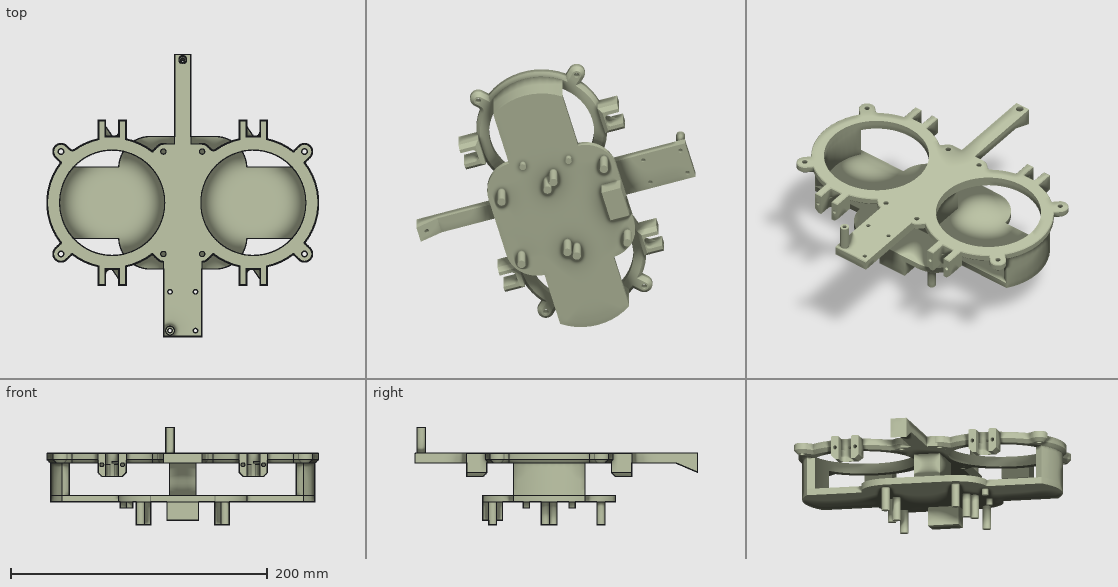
import cadquery as cq
import math


FRAME_THICKNESS = 8.0
LEG_HEIGHT = 25.1
BASE_THICKNESS = 5.0
POST_HEIGHT = 19.8
LEG_TOP_Z = -FRAME_THICKNESS
BASE_TOP_Z = LEG_TOP_Z - LEG_HEIGHT
BASE_BOTTOM_Z = BASE_TOP_Z - BASE_THICKNESS

RING_SPACING = 110.0
RING_X = RING_SPACING / 2
RING_DIAMETER = 102.0
BORE_DIAMETER = 82.0
LUG_OFFSET = 39.9
LUG_RADIUS = 6.4
NOTCH_FILLET = 2.6
LUG_HOLE_DIAMETER = 4.2
TOP_CHAMFER = 0.7
RIM_CHAMFER = 2.9

FRONT_ARM_WIDTH = 30.0
FRONT_ARM_END_Y = -104.6
WEB_BACK_Y = 45.8
JOINT_HALF_WIDTH = 17.6
JOINT_HALF_DEPTH = 35.2
REAR_ARM_WIDTH = 12.5
REAR_ARM_END_Y = 115.7
WEDGE_LENGTH = 17.0
WEDGE_END_HEIGHT = 15.2
ARM_HOLE_DIAMETER = 3.3
ARM_HOLE_X = 10.0
ARM_HOLE_YS = (-69.5, -99.5)
POST_DIAMETER = 6.8

SCREW_Y = 111.7
SCREW_TILT = 12
SCREW_HOLE_DIAMETER = 3.5
SCREW_HEAD_DIAMETER = 6.0
SCREW_HEAD_DEPTH = 3.7
SCREW_CUT_LENGTH = 26.5

CLEVIS_WIDTH = 22.0
CLEVIS_SLOT_WIDTH = 10.1
CLEVIS_INNER_Y = 48.5
CLEVIS_SLOT_Y = 52.0
CLEVIS_OUTER_Y = 64.3
CLEVIS_HEIGHT = 18.5
CLEVIS_CHAMFER = 3.0
CLEVIS_HOLE_DIAMETER = 3.0
CLEVIS_HOLE_Z = -9.3
GUSSET_WIDTH = 5.0
GUSSET_LENGTH = 7.5
GUSSET_THICKNESS = 1.3
SLOT_FILLET = 3.3
SLOT_FILLET_TOP_Z = -9.3
SLOT_TOP_FILLET = 0.9

LEG_OUTER_RADIUS = 48.0
LEG_INNER_RADIUS = BORE_DIAMETER / 2
LEG_WIDTH = 56.0
COLUMN_WIDTH = 20.7
COLUMN_DEPTH = 38.3

BASE_BODY_WIDTH = 100.0
BASE_BODY_DEPTH = 103.5
BASE_CORNER_RADIUS = 25.0
PEG_DIAMETER = 6.4
PEG_LENGTH = 18.0
FRONT_PEG_X = 33.0
FRONT_PEG_YS = (-44.0, -3.0)
REAR_PEG_X = 28.0
REAR_PEG_YS = (3.0, 40.3)
SHORT_PEG_DIAMETER = 5.0
SHORT_PEG_LENGTH = 4.8
SHORT_PEG_POINTS = [(-46.3, 17.8), (-41.5, -17.8)]

BLOCK_WIDTH = 24.7
BLOCK_DEPTH = 15.5
BLOCK_HEIGHT = 14.5


def box(x_range, y_range, z_range):
    """Box between two limits along each axis."""
    (x0, x1), (y0, y1), (z0, z1) = x_range, y_range, z_range
    return cq.Workplane("XY").box(x1 - x0, y1 - y0, z1 - z0, centered=False).translate((x0, y0, z0))


def cylinder(diameter, bottom_z, top_z, points):
    """Upright cylinders at the given points."""
    plane = cq.Workplane("XY").workplane(offset=bottom_z)
    return plane.pushPoints(points).circle(diameter / 2).extrude(top_z - bottom_z)


def ring_plate():
    """One ring with four round-ended lugs, before its bore is cut, centred on the Z axis."""
    plate = cylinder(RING_DIAMETER, -FRAME_THICKNESS, 0, [(0, 0)])
    lug_length = 2 * (LUG_OFFSET * math.sqrt(2) + LUG_RADIUS)
    for angle in (45, 135):
        lug_pair = (
            cq.Workplane("XY")
            .workplane(offset=-FRAME_THICKNESS)
            .slot2D(lug_length, 2 * LUG_RADIUS, angle)
            .extrude(FRAME_THICKNESS)
        )
        plate = plate.union(lug_pair)

    notch_angle = math.radians(135) - math.asin(2 * LUG_RADIUS / RING_DIAMETER)
    notch_x = RING_DIAMETER / 2 * math.cos(notch_angle)
    notch_y = RING_DIAMETER / 2 * math.sin(notch_angle)
    notch_edge = cq.selectors.NearestToPointSelector((notch_x, notch_y, -FRAME_THICKNESS / 2))
    plate = plate.edges("|Z").edges(notch_edge).fillet(NOTCH_FILLET)
    return plate.faces(">Z").chamfer(TOP_CHAMFER).faces("<Z").chamfer(RIM_CHAMFER)


def clevis():
    """Front clevis of a ring that is centred on the Z axis."""
    half_width = CLEVIS_WIDTH / 2
    half_slot = CLEVIS_SLOT_WIDTH / 2
    body = box((-half_width, half_width), (-CLEVIS_OUTER_Y, -CLEVIS_INNER_Y), (-CLEVIS_HEIGHT, 0))
    body = body.edges("<Z and (<X or >X or >Y)").chamfer(CLEVIS_CHAMFER)
    slot = box((-half_slot, half_slot), (-CLEVIS_OUTER_Y, -CLEVIS_SLOT_Y), (-CLEVIS_HEIGHT, 0))
    body = body.cut(slot).faces(">Z").chamfer(TOP_CHAMFER)

    ear_x = (half_width + half_slot) / 2
    holes = (
        cq.Workplane("XZ", origin=(0, -CLEVIS_OUTER_Y, CLEVIS_HOLE_Z))
        .pushPoints([(-ear_x, 0), (ear_x, 0)])
        .circle(CLEVIS_HOLE_DIAMETER / 2)
        .extrude(-(CLEVIS_OUTER_Y - CLEVIS_SLOT_Y))
    )
    body = body.cut(holes)

    gusset = (
        cq.Workplane("XY", origin=(half_slot, -CLEVIS_SLOT_Y, -FRAME_THICKNESS))
        .polyline([(0, 0), (-GUSSET_WIDTH, 0), (0, -GUSSET_LENGTH)])
        .close()
        .extrude(GUSSET_THICKNESS)
    )
    body = body.union(gusset)
    for side in (-1, 1):
        body = body.union(slot_corner(side, SLOT_FILLET, -CLEVIS_HEIGHT, SLOT_FILLET_TOP_Z))
        body = body.union(slot_corner(side, SLOT_TOP_FILLET, SLOT_FILLET_TOP_Z, -TOP_CHAMFER))
    return body


def slot_corner(side, radius, bottom_z, top_z):
    """Concave round in one inner corner of the clevis slot; side is 1 for +X and -1 for -X."""
    corner_x = side * CLEVIS_SLOT_WIDTH / 2
    centre_x = corner_x - side * radius
    centre_y = -CLEVIS_SLOT_Y - radius
    x_range = (min(corner_x, centre_x), max(corner_x, centre_x))
    square = box(x_range, (centre_y, -CLEVIS_SLOT_Y), (bottom_z, top_z))
    return square.cut(cylinder(2 * radius, bottom_z, top_z, [(centre_x, centre_y)]))


def rear_arm():
    """Narrow arm with a wedge under its free end."""
    wedge_start_y = REAR_ARM_END_Y - WEDGE_LENGTH
    return (
        cq.Workplane("YZ")
        .polyline(
            [
                (0, 0),
                (REAR_ARM_END_Y, 0),
                (REAR_ARM_END_Y, -WEDGE_END_HEIGHT),
                (wedge_start_y, -FRAME_THICKNESS),
                (0, -FRAME_THICKNESS),
            ]
        )
        .close()
        .extrude(REAR_ARM_WIDTH / 2, both=True)
    )


def screw_cut():
    """Counterbored hole, tilted so that it runs toward -Y as it goes down."""
    hole = cylinder(SCREW_HOLE_DIAMETER, -SCREW_CUT_LENGTH, 0, [(0, 0)])
    head = cylinder(SCREW_HEAD_DIAMETER, -SCREW_HEAD_DEPTH, SCREW_HEAD_DIAMETER, [(0, 0)])
    cut = hole.union(head).rotate((0, 0, 0), (1, 0, 0), -SCREW_TILT)
    return cut.translate((0, SCREW_Y, 0))


def wing(radius, bottom_z, top_z):
    """Both ring circles of the given radius, trimmed to the width of the legs."""
    discs = cylinder(2 * radius, bottom_z, top_z, [(-RING_X, 0), (RING_X, 0)])
    half_length = RING_X + radius
    strip = box((-half_length, half_length), (-LEG_WIDTH / 2, LEG_WIDTH / 2), (bottom_z, top_z))
    return discs.intersect(strip)


def curved_wall():
    """Arc wall on the +X side of the Z axis, with radial ends and the width of the wing at its outer face."""
    end_y = LEG_WIDTH / 2
    end_x = math.sqrt(LEG_OUTER_RADIUS**2 - end_y**2)
    inner_ratio = LEG_INNER_RADIUS / LEG_OUTER_RADIUS
    return (
        cq.Workplane("XY", origin=(0, 0, BASE_TOP_Z))
        .moveTo(end_x, -end_y)
        .threePointArc((LEG_OUTER_RADIUS, 0), (end_x, end_y))
        .lineTo(end_x * inner_ratio, end_y * inner_ratio)
        .threePointArc((LEG_INNER_RADIUS, 0), (end_x * inner_ratio, -end_y * inner_ratio))
        .close()
        .extrude(LEG_HEIGHT)
    )


def legs():
    """Curved wall at each end and a rectangular column in the middle."""
    half_width = COLUMN_WIDTH / 2
    half_depth = COLUMN_DEPTH / 2
    column = box((-half_width, half_width), (-half_depth, half_depth), (BASE_TOP_Z, LEG_TOP_Z))
    right_wall = curved_wall().translate((RING_X, 0, 0))
    return column.union(right_wall).union(right_wall.mirror("YZ"))


def make_frame():
    """Two-ring frame with its arms, post, clevises and legs."""
    half_arm = FRONT_ARM_WIDTH / 2
    body = box((-half_arm, half_arm), (FRONT_ARM_END_Y, WEB_BACK_Y), (-FRAME_THICKNESS, 0))
    body = body.edges(">Z and <Y").chamfer(TOP_CHAMFER)
    joint_x = (-JOINT_HALF_WIDTH, JOINT_HALF_WIDTH)
    joint_y = (-JOINT_HALF_DEPTH, JOINT_HALF_DEPTH)
    body = body.union(box(joint_x, joint_y, (-FRAME_THICKNESS, 0)))
    body = body.union(rear_arm())

    lug_holes = []
    for ring_x in (-RING_X, RING_X):
        ring = ring_plate()
        for angle in (0, 180):
            ring = ring.union(clevis().rotate((0, 0, 0), (0, 0, 1), angle))
        body = body.union(ring.translate((ring_x, 0, 0)))
        for dx in (-LUG_OFFSET, LUG_OFFSET):
            for y in (-LUG_OFFSET, LUG_OFFSET):
                lug_holes.append((ring_x + dx, y))

    arm_holes = [(x, y) for x in (-ARM_HOLE_X, ARM_HOLE_X) for y in ARM_HOLE_YS]
    body = body.union(cylinder(POST_DIAMETER, -FRAME_THICKNESS, POST_HEIGHT, [(-ARM_HOLE_X, min(ARM_HOLE_YS))]))
    body = body.cut(cylinder(BORE_DIAMETER, -FRAME_THICKNESS, 0, [(-RING_X, 0), (RING_X, 0)]))
    body = body.cut(cylinder(LUG_HOLE_DIAMETER, -FRAME_THICKNESS, 0, lug_holes))
    body = body.cut(cylinder(ARM_HOLE_DIAMETER, -FRAME_THICKNESS, POST_HEIGHT, arm_holes))
    return body.cut(screw_cut()).union(legs())


def make_base():
    """Base plate with the standoff pegs under it."""
    half_width = BASE_BODY_WIDTH / 2
    half_depth = BASE_BODY_DEPTH / 2
    body = box((-half_width, half_width), (-half_depth, half_depth), (BASE_BOTTOM_Z, BASE_TOP_Z))
    body = body.edges("|Z").fillet(BASE_CORNER_RADIUS)
    body = body.union(wing(LEG_OUTER_RADIUS, BASE_BOTTOM_Z, BASE_TOP_Z))

    pegs = [(x, y) for x in (-FRONT_PEG_X, FRONT_PEG_X) for y in FRONT_PEG_YS]
    pegs += [(x, y) for x in (-REAR_PEG_X, REAR_PEG_X) for y in REAR_PEG_YS]
    body = body.union(cylinder(PEG_DIAMETER, BASE_BOTTOM_Z - PEG_LENGTH, BASE_TOP_Z, pegs))
    short_bottom_z = BASE_BOTTOM_Z - SHORT_PEG_LENGTH
    return body.union(cylinder(SHORT_PEG_DIAMETER, short_bottom_z, BASE_TOP_Z, SHORT_PEG_POINTS))


def make_block():
    """Plain block under the base, flush with its front edge."""
    front_y = -BASE_BODY_DEPTH / 2
    return box(
        (-BLOCK_WIDTH / 2, BLOCK_WIDTH / 2),
        (front_y, front_y + BLOCK_DEPTH),
        (BASE_BOTTOM_Z - BLOCK_HEIGHT, BASE_BOTTOM_Z),
    )


frame = make_frame()
base = make_base()
block = make_block()

result = cq.Compound.makeCompound([frame.val(), base.val(), block.val()])